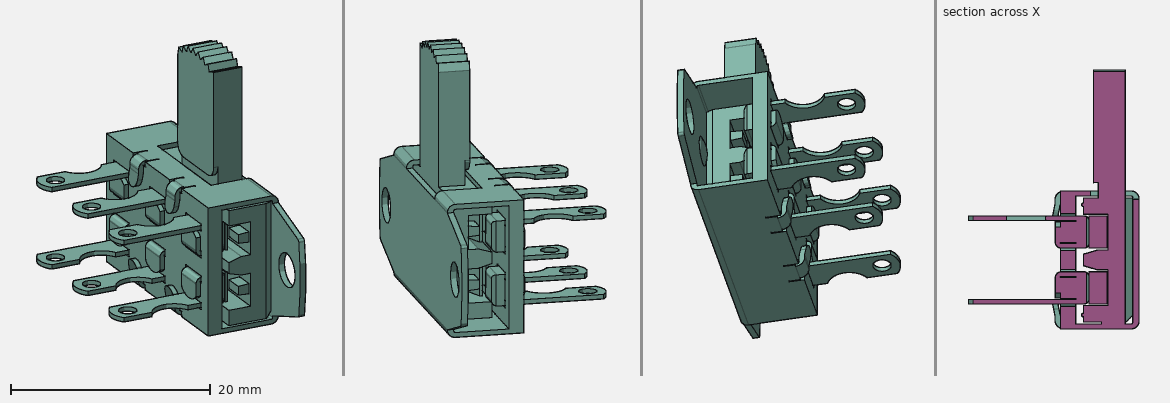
import cadquery as cq
import math


overall_height = 26.9
plate_length = 34.43
plate_thickness = 0.65
ear_root_half_height = 6.05
ear_tip_half_height = 4.13
ear_tip_setback = 0.35
ear_corner_radius = 0.35
mount_hole_diameter = 3.55
mount_hole_x = 14.3
housing_length = 22.35
housing_height = 13.8
wall_thickness = 0.5
bend_radius = 0.83
inner_bend_radius = 0.17
dimple_x = 8.6
dimple_diameter = 3.03
dimple_depth = 0.4
window_half_length = 5.9
window_front_y = -4.85

base_back_y = -6.35
base_thickness = 1.55
base_front_y = base_back_y - base_thickness

tab_x = 4.0
tab_width = 1.93
tab_neck_width = 2.4
tab_thickness = 0.55
tab_bend_radius = 0.93
tab_kick = 0.3
tab_kick_top = 5.55
tab_tip_z = 3.95
tab_tip_radius = 0.93
notch_width = 2.65

contact_pitch = 7.92
contact_width = 3.17
contact_back_y = -5.03
contact_bend_radius = 0.48
contact_end_bevel = 0.38
leg_thickness = 0.48
contact_outer_z = 4.4
contact_inner_z = 1.17
terminal_tip_y = -17.08
terminal_tip_radius = 2.38
terminal_hole_diameter = 1.82
terminal_hole_y = -15.25
terminal_notch_radius = 2.25
terminal_notch_y = -11.33
terminal_notch_depth = 1.27
slot_width = 3.37
slot_height = 0.75
slot_clearance = 0.2
clinch_tip_z = 3.82
clinch_shoulder_z = 3.17
clinch_thickness = 0.5
clinch_bend_radius = 0.62

handle_width = 7.9
handle_x = window_half_length - handle_width / 2
carriage_half_length = 9.23
carriage_half_height = 6.2
carriage_back_y = -1.38
web_front_y = -3.15
arm_front_y = -5.58
arm_inner_z = 4.55
rib_root_half_height = 1.0
rib_tip_half_height = 0.6
rib_taper_start_y = -4.15
pin_diameter = 0.38
pin_z = 5.5
pad_root_length = 1.95
pad_tip_length = 1.35
pad_bevel = 0.65
foot_front_y = -3.8

leaf_half_length = 7.37
leaf_ramp_length = 4.13
leaf_thickness = 0.28
boss_tip_y = -4.35
boss_root_height = 1.1
boss_tip_height = 0.93
boss_length = 2.05
boss_inset = 0.35

handle_stem_front_y = -4.1
handle_front_y = -4.58
handle_top_z = overall_height - housing_height / 2
handle_pad_bottom_z = 7.5
handle_pad_corner_radius = 1.25
handle_left_top_z = 18.08
crest_radius = 7.25
root_radius = 6.68
tooth_angle = 8.8
teeth = 8

wall_top = housing_height / 2
wall_inside = wall_top - wall_thickness
contact_height = contact_outer_z - contact_inner_z
contact_z = (contact_outer_z + contact_inner_z) / 2
contact_columns = [-contact_pitch, 0, contact_pitch]


def block(x_range, y_range, z_range):
    """Box spanning the given (low, high) range on each axis."""
    size = [high - low for low, high in (x_range, y_range, z_range)]
    return cq.Workplane("XY").box(*size, centered=False).translate((x_range[0], y_range[0], z_range[0]))


def across(x_centre, width):
    return (x_centre - width / 2, x_centre + width / 2)


def extrude_along_x(profile, x_centre, width):
    """Extrude a closed YZ profile symmetrically about x_centre."""
    return profile.extrude(width / 2, both=True).translate((x_centre, 0, 0))


def make_plate():
    """Flat plate with tapered, round-ended mounting ears, holes and raised dimples."""
    tip_x = plate_length / 2
    corner_x = tip_x - ear_tip_setback
    root_x = housing_length / 2
    plate = (
        cq.Workplane("XZ")
        .moveTo(-root_x, ear_root_half_height)
        .lineTo(root_x, ear_root_half_height)
        .lineTo(corner_x, ear_tip_half_height)
        .threePointArc((tip_x, 0), (corner_x, -ear_tip_half_height))
        .lineTo(root_x, -ear_root_half_height)
        .lineTo(-root_x, -ear_root_half_height)
        .lineTo(-corner_x, -ear_tip_half_height)
        .threePointArc((-tip_x, 0), (-corner_x, ear_tip_half_height))
        .close()
        .extrude(plate_thickness)
    )
    for x_side in (-1, 1):
        for z_side in (-1, 1):
            corner = (x_side * corner_x, -plate_thickness / 2, z_side * ear_tip_half_height)
            plate = plate.edges(cq.selectors.NearestToPointSelector(corner)).fillet(ear_corner_radius)
    holes = (
        cq.Workplane("XZ")
        .pushPoints([(-mount_hole_x, 0), (mount_hole_x, 0)])
        .circle(mount_hole_diameter / 2)
        .extrude(plate_thickness)
    )
    plate = plate.cut(holes)
    sphere_radius = ((dimple_diameter / 2) ** 2 + dimple_depth ** 2) / (2 * dimple_depth)
    cap_y_range = (-plate_thickness - dimple_depth, -plate_thickness / 2)
    cap_space = block(across(0, housing_length), cap_y_range, across(0, housing_height))
    for x in (-dimple_x, dimple_x):
        sphere_y = sphere_radius - plate_thickness - dimple_depth
        sphere = cq.Workplane("XY").sphere(sphere_radius).translate((x, sphere_y, 0))
        plate = plate.union(sphere.intersect(cap_space))
    return plate


def make_channel():
    """U-shaped part of the shell, with the handle window through its upper wall and bend."""
    outer = block(across(0, housing_length), (base_back_y, 0), across(0, housing_height))
    outer = outer.edges("|X and >Y").fillet(bend_radius)
    inner = block(
        across(0, housing_length), (base_back_y, -plate_thickness), across(0, 2 * wall_inside)
    )
    inner = inner.edges("|X and >Y").fillet(inner_bend_radius)
    window = block(
        across(0, 2 * window_half_length), (window_front_y, 0), (wall_top - bend_radius, wall_top)
    )
    return outer.cut(inner).cut(window)


def make_tab(x):
    """Upper tab bent down over the base front, then flared outward to a rounded tip."""
    face_y = base_front_y - tab_thickness
    bend_start_y = face_y + tab_bend_radius
    bend_centre_z = wall_top - tab_bend_radius
    bend_mid = tab_bend_radius * math.sqrt(0.5)
    profile = (
        cq.Workplane("YZ")
        .moveTo(base_back_y, wall_top)
        .lineTo(bend_start_y, wall_top)
        .threePointArc((bend_start_y - bend_mid, bend_centre_z + bend_mid), (face_y, bend_centre_z))
        .lineTo(face_y, tab_kick_top)
        .lineTo(face_y - tab_kick, tab_tip_z)
        .lineTo(base_front_y - tab_kick, tab_tip_z)
        .lineTo(base_front_y, tab_kick_top)
        .lineTo(base_front_y, wall_inside)
        .lineTo(base_back_y, wall_inside)
        .close()
    )
    strip = extrude_along_x(profile, x, tab_width)
    rounding = block(across(x, tab_width), (face_y - tab_kick, base_back_y), (tab_tip_z, wall_top))
    rounding = rounding.edges("|Y and <Z").fillet(tab_tip_radius)
    strip = strip.intersect(rounding)
    neck = block(across(x, tab_neck_width), (bend_start_y, base_back_y), (wall_inside, wall_top))
    return strip.union(neck)


def make_base():
    """Rectangular base with notches for the tabs and slots for the contact legs."""
    y_range = (base_front_y, base_back_y)
    base = block(across(0, housing_length), y_range, across(0, housing_height))
    for x in (-tab_x, tab_x):
        notch = block(across(x, notch_width), y_range, (wall_top - tab_thickness, wall_top))
        base = base.cut(notch).cut(notch.mirror("XY"))
    outer_top = contact_outer_z + slot_clearance
    inner_bottom = contact_inner_z - slot_clearance
    for x in contact_columns:
        for z_range in (
            (outer_top - slot_height, outer_top),
            (inner_bottom, inner_bottom + slot_height),
        ):
            slot = block(across(x, slot_width), y_range, z_range)
            base = base.cut(slot).cut(slot.mirror("XY"))
    return base


def make_terminal():
    """Solder lug with an arc-shaped end, an eyelet and a round bite out of its -X edge."""
    half_width = contact_width / 2
    tip_rise = terminal_tip_radius - math.sqrt(terminal_tip_radius ** 2 - half_width ** 2)
    lug = (
        cq.Workplane("XY")
        .workplane(offset=contact_outer_z - leg_thickness)
        .moveTo(-half_width, base_back_y)
        .lineTo(-half_width, terminal_tip_y + tip_rise)
        .threePointArc((0, terminal_tip_y), (half_width, terminal_tip_y + tip_rise))
        .lineTo(half_width, base_back_y)
        .close()
        .extrude(leg_thickness)
    )
    bite_x = -half_width + terminal_notch_depth - terminal_notch_radius
    for centre, radius in (
        ((0, terminal_hole_y), terminal_hole_diameter / 2),
        ((bite_x, terminal_notch_y), terminal_notch_radius),
    ):
        cutter = cq.Workplane("XY").center(*centre).circle(radius).extrude(housing_height)
        lug = lug.cut(cutter)
    return lug


def make_clinch():
    """Inner leg folded up against the base front, ending in an arched tip."""
    half_width = contact_width / 2
    leg_top = contact_inner_z + leg_thickness
    leg = block(across(0, contact_width), (base_front_y, base_back_y), (contact_inner_z, leg_top))
    flap = (
        cq.Workplane("XZ")
        .workplane(offset=-base_front_y)
        .moveTo(-half_width, contact_inner_z)
        .lineTo(-half_width, clinch_shoulder_z)
        .threePointArc((0, clinch_tip_z), (half_width, clinch_shoulder_z))
        .lineTo(half_width, contact_inner_z)
        .close()
        .extrude(clinch_thickness)
    )
    return leg.union(flap).edges("|X and <Y and <Z").fillet(clinch_bend_radius)


def make_contact():
    """Upper fixed contact at x = 0: body behind the base, terminal and clinched leg."""
    body = block(
        across(0, contact_width), (base_back_y, contact_back_y), (contact_inner_z, contact_outer_z)
    )
    body = body.edges("|Z and >Y").chamfer(contact_end_bevel)
    body = body.edges("|X and >Y").fillet(contact_bend_radius)
    return body.union(make_terminal()).union(make_clinch())


def make_moving_contact():
    """Bridge with long ramped ends that slides over the fixed contacts."""
    leaf_back_y = contact_back_y + leaf_thickness
    crown_half_length = leaf_half_length - leaf_ramp_length
    return (
        cq.Workplane("XY")
        .workplane(offset=contact_inner_z)
        .polyline([
            (handle_x - leaf_half_length, contact_back_y),
            (handle_x - leaf_half_length, leaf_back_y),
            (handle_x - crown_half_length, web_front_y),
            (handle_x + crown_half_length, web_front_y),
            (handle_x + leaf_half_length, leaf_back_y),
            (handle_x + leaf_half_length, contact_back_y),
        ])
        .close()
        .extrude(contact_height)
    )


def make_boss(x_start):
    """Tapered boss on the carriage web, centred on a row of contacts."""
    return (
        cq.Workplane("YZ")
        .workplane(offset=x_start)
        .polyline([
            (web_front_y, contact_z - boss_root_height / 2),
            (boss_tip_y, contact_z - boss_tip_height / 2),
            (boss_tip_y, contact_z + boss_tip_height / 2),
            (web_front_y, contact_z + boss_root_height / 2),
        ])
        .close()
        .extrude(boss_length)
    )


def make_pad():
    """Sloped-end pad at the carriage's -X end that rides on the mounting plate."""
    start_x = handle_x - carriage_half_length
    slope = (pad_root_length - pad_tip_length) / 2
    pad = (
        cq.Workplane("XY")
        .workplane(offset=-carriage_half_height)
        .polyline([
            (start_x, carriage_back_y),
            (start_x + slope, -plate_thickness),
            (start_x + slope + pad_tip_length, -plate_thickness),
            (start_x + pad_root_length, carriage_back_y),
        ])
        .close()
        .extrude(2 * carriage_half_height)
    )
    return pad.edges("|X and >Y and <Z").chamfer(pad_bevel)


def make_carriage():
    """E-section carriage with pads, detent pins, bosses, moving contacts and a foot."""
    length = 2 * carriage_half_length
    arms = [
        (web_front_y, carriage_half_height),
        (arm_front_y, carriage_half_height),
        (arm_front_y, arm_inner_z),
        (web_front_y, arm_inner_z),
        (web_front_y, rib_root_half_height),
        (rib_taper_start_y, rib_root_half_height),
        (arm_front_y, rib_tip_half_height),
    ]
    lower_arms = [(y, -z) for y, z in reversed(arms)]
    back = [(carriage_back_y, -carriage_half_height), (carriage_back_y, carriage_half_height)]
    section = cq.Workplane("YZ").polyline(arms + lower_arms + back).close()
    carriage = extrude_along_x(section, handle_x, length)

    pad = make_pad()
    far_pad = pad.mirror("YZ", (handle_x, 0, 0))
    carriage = carriage.union(pad).union(far_pad)

    start_x = handle_x - carriage_half_length
    end_x = handle_x + carriage_half_length
    pin = cq.Workplane("YZ").center(arm_front_y, pin_z).circle(pin_diameter / 2)
    pin = extrude_along_x(pin, handle_x, handle_width)
    moving_contact = make_moving_contact()
    bosses = [make_boss(start_x + boss_inset), make_boss(end_x - boss_inset - boss_length)]
    for feature in (pin, moving_contact, *bosses):
        carriage = carriage.union(feature).union(feature.mirror("XY"))

    foot_z_range = (-wall_inside, -carriage_half_height)
    foot = block(across(handle_x, handle_width), (foot_front_y, carriage_back_y), foot_z_range)
    return carriage.union(foot)


def make_handle():
    """Handle whose crown is a fan of saw teeth, with a thicker front face above the housing."""
    centre_z = handle_top_z - crest_radius * math.cos(math.radians(tooth_angle / 2))
    left_x = handle_x - handle_width / 2
    right_x = handle_x + handle_width / 2

    def crown_point(radius, angle):
        turn = math.radians(angle)
        return (handle_x + radius * math.sin(turn), centre_z + radius * math.cos(turn))

    outline = [(left_x, carriage_half_height), (left_x, handle_left_top_z)]
    for tooth in range(teeth):
        crest_angle = (tooth - (teeth - 1) / 2) * tooth_angle
        outline.append(crown_point(crest_radius, crest_angle))
        if tooth < teeth - 1:
            outline.append(crown_point(root_radius, crest_angle + tooth_angle / 2))
    outline += [(right_x, outline[-1][1]), (right_x, carriage_half_height)]
    handle = (
        cq.Workplane("XZ")
        .workplane(offset=-carriage_back_y)
        .polyline(outline)
        .close()
        .extrude(carriage_back_y - handle_front_y)
    )
    front_space = block(
        (left_x, right_x), (handle_front_y, handle_stem_front_y), (handle_pad_bottom_z, handle_top_z)
    )
    front_space = front_space.edges("|Y and <Z").fillet(handle_pad_corner_radius)
    stem_space = block(
        (left_x, right_x), (handle_stem_front_y, carriage_back_y), (carriage_half_height, handle_top_z)
    )
    return handle.intersect(front_space.union(stem_space))


result = make_plate().union(make_channel()).union(make_base())
for x in (-tab_x, tab_x):
    tab = make_tab(x)
    result = result.union(tab).union(tab.mirror("XY"))
contact = make_contact()
lower_contact = contact.rotate((0, 0, 0), (0, 1, 0), 180)
for x in contact_columns:
    result = result.union(contact.translate((x, 0, 0))).union(lower_contact.translate((x, 0, 0)))
result = result.union(make_carriage()).union(make_handle())